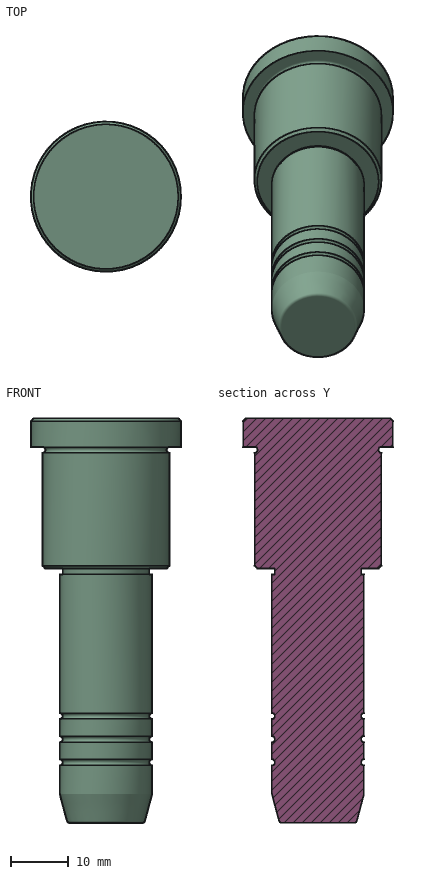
import cadquery as cq
import math

total_length = 70.0
head_diameter = 26.0
head_height = 5.0
head_chamfer = 0.5
sleeve_diameter = 22.0
sleeve_length = 21.0
sleeve_chamfer = 0.5
neck_diameter = 15.0
neck_length = 1.0
shank_diameter = 16.0
tip_length = 5.0
tip_taper_angle = 15.0
tip_fillet = 0.5

groove_radius = 0.5
shank_groove_count = 3
shank_groove_pitch = 4.0
first_shank_groove_depth = 51.5

head_bottom = total_length - head_height
sleeve_bottom = head_bottom - sleeve_length
shank_top = sleeve_bottom - neck_length
first_shank_groove_z = total_length - first_shank_groove_depth
head_groove_z = head_bottom - groove_radius


def cylinder(diameter, bottom, top):
    """Upright cylinder on the Z axis between two levels."""
    return cq.Workplane("XY").workplane(offset=bottom).circle(diameter / 2).extrude(top - bottom)


def ring_groove(diameter, center_z):
    """Ring with a round section, centred on the surface it is cut from."""
    section = cq.Workplane("XZ").center(diameter / 2, center_z).circle(groove_radius)
    return section.revolve(360, (-diameter / 2, 0), (-diameter / 2, 1))


def tapered_tip():
    """Lead-in cone at the lower end, with its end edge rounded."""
    shank_radius = shank_diameter / 2
    end_radius = shank_radius - tip_length * math.tan(math.radians(tip_taper_angle))
    outline = (
        cq.Workplane("XZ")
        .lineTo(end_radius, 0)
        .lineTo(shank_radius, tip_length)
        .lineTo(0, tip_length)
        .close()
    )
    cone = outline.revolve(360, (0, 0), (0, 1))
    return cone.faces("<Z").edges().fillet(tip_fillet)


head = cylinder(head_diameter, head_bottom, total_length).faces(">Z").chamfer(head_chamfer)
sleeve = cylinder(sleeve_diameter, sleeve_bottom, head_bottom).faces("<Z").chamfer(sleeve_chamfer)
neck = cylinder(neck_diameter, shank_top, sleeve_bottom)
shank = cylinder(shank_diameter, tip_length, shank_top)

sleeve = sleeve.cut(ring_groove(sleeve_diameter, head_groove_z))
for index in range(shank_groove_count):
    groove_z = first_shank_groove_z - index * shank_groove_pitch
    shank = shank.cut(ring_groove(shank_diameter, groove_z))

result = head.union(sleeve).union(neck).union(shank).union(tapered_tip())